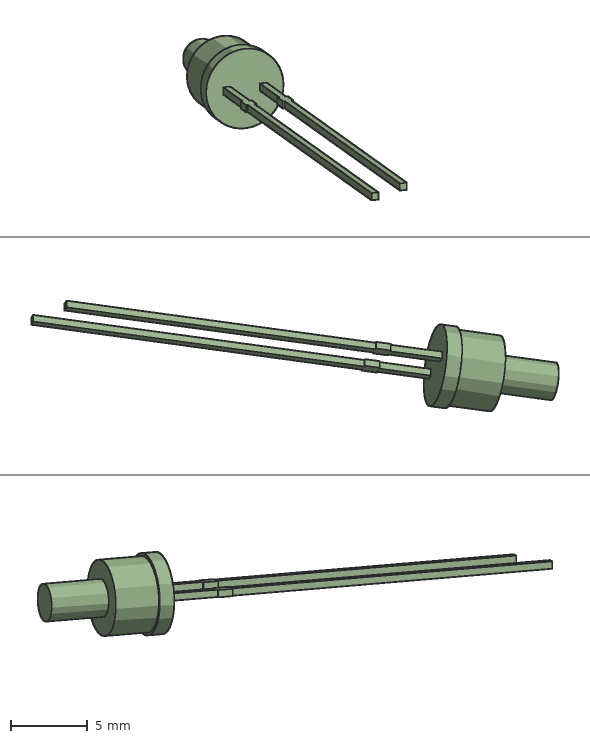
import cadquery as cq

total_length = 35.0

tip_diameter = 2.5
tip_length = 4.0
body_diameter = 5.0
body_length = 3.0
flange_diameter = 5.4
flange_length = 1.0

lead_width = 0.5
lead_spacing = 2.55
short_lead_setback = 1.5
stop_width = 0.75
stop_length = 1.0
stop_gap = 3.5

flange_back = tip_length + body_length + flange_length
long_lead_length = total_length - flange_back
short_lead_length = long_lead_length - short_lead_setback


def housing():
    """Light-pipe tip, body and flange, each stacked on the one before."""
    sections = (
        (tip_diameter, tip_length),
        (body_diameter, body_length),
        (flange_diameter, flange_length),
    )
    solid = None
    start = 0.0
    for diameter, length in sections:
        cylinder = cq.Workplane("YZ", origin=(start, 0, 0)).circle(diameter / 2).extrude(length)
        solid = cylinder if solid is None else solid.union(cylinder)
        start += length
    return solid


def bar(start, length, width, y):
    """Rectangular bar along X, as thick in Z as the leads."""
    return cq.Workplane("YZ", origin=(start, y, 0)).rect(width, lead_width).extrude(length)


def lead(length, y):
    """Square lead, widened in Y over the stop."""
    pin = bar(flange_back, length, lead_width, y)
    stop = bar(flange_back + stop_gap, stop_length, stop_width, y)
    return pin.union(stop)


long_lead = lead(long_lead_length, -lead_spacing / 2)
short_lead = lead(short_lead_length, lead_spacing / 2)

result = housing().union(long_lead).union(short_lead)